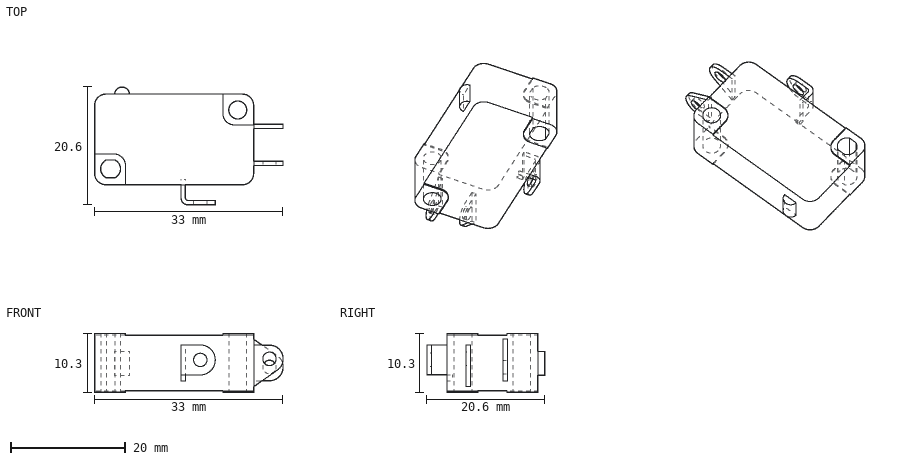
import cadquery as cq
import math

body_length = 27.8
body_width = 15.88
total_height = 10.3
corner_radius = 2.0

pad_size = 5.4
pad_height = 0.3
hole_inset = 2.8
hole_diameter = 3.1
long_hole_diameter = 3.43

plunger_x = 4.8
plunger_radius = 1.32
plunger_reach = 1.22
plunger_bottom = -2.17
plunger_height = 4.18

sheet = 0.8
eyelet_diameter = 2.35

overall_length = 32.95
side_reach = overall_length - body_length
side_radius = 2.4
side_eyelet_z = 0.72
side_root_z = -4.15
open_terminal_y = 3.75
closed_terminal_y = 10.2

common_x = 15.1
common_reach = 3.5
common_foot = 6.0
common_width = 5.25
common_z = 0.53
bend_radius = 1.22
pocket_depth = 1.0
pocket_drop = 1.02


def make_pad_column(inner_corner):
    """Full-height square column at the origin, rounded on the given inner vertical edge."""
    return (
        cq.Workplane("XY")
        .box(pad_size, pad_size, total_height)
        .edges("|Z").edges(inner_corner).fillet(corner_radius)
    )


def make_housing():
    """Rounded box with hole pads at two opposite corners of both large faces."""
    outline = (
        cq.Workplane("XY")
        .box(body_length, body_width, total_height, centered=(False, False, True))
        .edges("|Z").fillet(corner_radius)
    )
    core = cq.Workplane("XY").box(
        body_length, body_width, total_height - 2 * pad_height, centered=(False, False, True)
    )
    half_pad = pad_size / 2
    front_left = make_pad_column(">X and >Y").translate((half_pad, half_pad, 0))
    back_right = make_pad_column("<X and <Y").translate(
        (body_length - half_pad, body_width - half_pad, 0)
    )
    return outline.intersect(core.union(front_left).union(back_right))


def make_mounting_holes():
    """Flat-sided hole at the front-left corner, round hole at the back-right corner."""
    flat_sided_hole = (
        cq.Workplane("XY")
        .circle(long_hole_diameter / 2)
        .extrude(total_height / 2, both=True)
        .intersect(cq.Workplane("XY").box(long_hole_diameter, hole_diameter, total_height))
        .translate((hole_inset, hole_inset, 0))
    )
    round_hole = (
        cq.Workplane("XY")
        .center(body_length - hole_inset, body_width - hole_inset)
        .circle(hole_diameter / 2)
        .extrude(total_height / 2, both=True)
    )
    return flat_sided_hole.union(round_hole)


def make_plunger():
    """Round-nosed button standing out of the back face."""
    return (
        cq.Workplane("XY", origin=(0, 0, plunger_bottom))
        .center(plunger_x, body_width + plunger_reach - plunger_radius)
        .circle(plunger_radius)
        .extrude(plunger_height)
    )


def make_side_terminal(center_y):
    """Tapered lug with an eyelet: flat upper edge, sloping lower edge tangent to the nose."""
    eyelet_x = body_length + side_reach - side_radius
    run = eyelet_x - body_length
    rise = side_eyelet_z - side_root_z
    slope = math.atan2(rise, run) - math.asin(side_radius / math.hypot(run, rise))
    tangent_point = (
        eyelet_x + side_radius * math.sin(slope),
        side_eyelet_z - side_radius * math.cos(slope),
    )
    flat_z = side_eyelet_z + side_radius
    return (
        cq.Workplane("XZ", origin=(0, center_y, 0))
        .moveTo(body_length, side_root_z)
        .lineTo(*tangent_point)
        .threePointArc((eyelet_x + side_radius, side_eyelet_z), (eyelet_x, flat_z))
        .lineTo(body_length, flat_z)
        .close()
        .moveTo(eyelet_x, side_eyelet_z)
        .circle(eyelet_diameter / 2)
        .extrude(sheet / 2, both=True)
    )


def make_common_terminal():
    """L-shaped strip whose foot runs parallel to the front face and ends in a round eyelet."""
    end_radius = common_width / 2
    eyelet_x = common_x + common_foot - end_radius
    foot_inner_y = sheet - common_reach
    bend_y = bend_radius - common_reach
    strip = (
        cq.Workplane("XY", origin=(0, 0, common_z))
        .moveTo(common_x, 0)
        .lineTo(common_x, bend_y)
        .radiusArc((common_x + bend_radius, -common_reach), -bend_radius)
        .lineTo(eyelet_x, -common_reach)
        .lineTo(eyelet_x, foot_inner_y)
        .lineTo(common_x + bend_radius, foot_inner_y)
        .radiusArc((common_x + sheet, bend_y), bend_radius - sheet)
        .lineTo(common_x + sheet, 0)
        .close()
        .extrude(end_radius, both=True)
    )
    eyelet_plane = cq.Workplane("XZ", origin=(eyelet_x, foot_inner_y, common_z))
    round_end = (
        eyelet_plane
        .moveTo(0, -end_radius)
        .threePointArc((end_radius, 0), (0, end_radius))
        .close()
        .extrude(sheet)
    )
    eyelet = eyelet_plane.circle(eyelet_diameter / 2).extrude(sheet)
    return strip.union(round_end).cut(eyelet)


def make_common_pocket():
    """Blind pocket in the front face directly below the common terminal."""
    pocket_top = common_z - common_width / 2
    return cq.Workplane("XY", origin=(common_x, 0, pocket_top - pocket_drop)).box(
        sheet, pocket_depth, pocket_drop, centered=False
    )


open_terminal = make_side_terminal(open_terminal_y)
closed_terminal = make_side_terminal(closed_terminal_y).mirror("XY")

result = (
    make_housing()
    .cut(make_mounting_holes())
    .cut(make_common_pocket())
    .union(make_plunger())
    .union(open_terminal)
    .union(closed_terminal)
    .union(make_common_terminal())
)